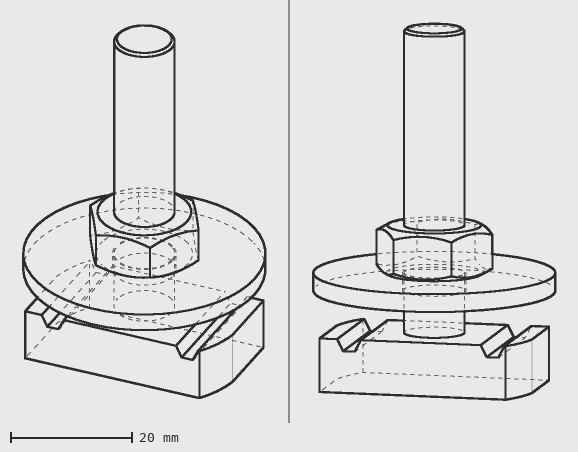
import cadquery as cq
import math

total_height = 60.0
head_height = 9.0
washer_bottom = 16.0
washer_thickness = 3.0
nut_height = 8.0

stud_diameter = 10.0
stud_chamfer = 0.5
washer_diameter = 40.0
washer_bore = 10.5
nut_across_flats = 17.05
nut_top_face_diameter = 15.5
nut_bottom_face_diameter = 15.9
nut_chamfer_angle = 30.0

head_length = 34.4
head_width = 19.5
head_corner_radius = 17.4
groove_offset = 12.2
groove_mouth = 4.0
groove_floor = 2.0
groove_depth = 2.0


def make_head():
    half_length = head_length / 2
    half_width = head_width / 2
    arc_start_y = math.sqrt(head_corner_radius**2 - half_length**2)
    arc_end_x = math.sqrt(head_corner_radius**2 - half_width**2)
    arc_angle = (math.atan2(arc_start_y, half_length) + math.atan2(half_width, arc_end_x)) / 2
    arc_mid_x = head_corner_radius * math.cos(arc_angle)
    arc_mid_y = head_corner_radius * math.sin(arc_angle)
    head = (
        cq.Workplane("XY")
        .moveTo(-half_length, -half_width)
        .lineTo(arc_end_x, -half_width)
        .threePointArc((arc_mid_x, -arc_mid_y), (half_length, -arc_start_y))
        .lineTo(half_length, half_width)
        .lineTo(-arc_end_x, half_width)
        .threePointArc((-arc_mid_x, arc_mid_y), (-half_length, arc_start_y))
        .close()
        .extrude(head_height)
    )
    for side in (-1, 1):
        head = head.cut(make_groove(side * groove_offset))
    return head


def make_groove(center_x):
    """Trapezoidal groove running across the top of the head."""
    floor_z = head_height - groove_depth
    return (
        cq.Workplane("XZ")
        .polyline([
            (center_x - groove_mouth / 2, head_height),
            (center_x - groove_floor / 2, floor_z),
            (center_x + groove_floor / 2, floor_z),
            (center_x + groove_mouth / 2, head_height),
        ])
        .close()
        .extrude(head_width / 2, both=True)
    )


def make_stud():
    return (
        cq.Workplane("XY")
        .circle(stud_diameter / 2)
        .extrude(total_height)
        .faces(">Z")
        .chamfer(stud_chamfer)
    )


def make_washer():
    return (
        cq.Workplane("XY", origin=(0, 0, washer_bottom))
        .circle(washer_diameter / 2)
        .circle(washer_bore / 2)
        .extrude(washer_thickness)
    )


def make_nut():
    """Hexagon with its corners turned to a cone at both ends."""
    bottom_z = washer_bottom + washer_thickness
    top_z = bottom_z + nut_height
    corner_radius = nut_across_flats / math.sqrt(3)
    top_radius = nut_top_face_diameter / 2
    bottom_radius = nut_bottom_face_diameter / 2
    slope = math.tan(math.radians(nut_chamfer_angle))
    hexagon = (
        cq.Workplane("XY", origin=(0, 0, bottom_z))
        .polygon(6, 2 * corner_radius)
        .extrude(nut_height)
    )
    turned_blank = (
        cq.Workplane("XZ")
        .moveTo(0, bottom_z)
        .lineTo(bottom_radius, bottom_z)
        .lineTo(corner_radius, bottom_z + (corner_radius - bottom_radius) * slope)
        .lineTo(corner_radius, top_z - (corner_radius - top_radius) * slope)
        .lineTo(top_radius, top_z)
        .lineTo(0, top_z)
        .close()
        .revolve(360, (0, 0, 0), (0, 1, 0))
    )
    return hexagon.intersect(turned_blank)


result = make_head().union(make_stud()).union(make_washer()).union(make_nut())